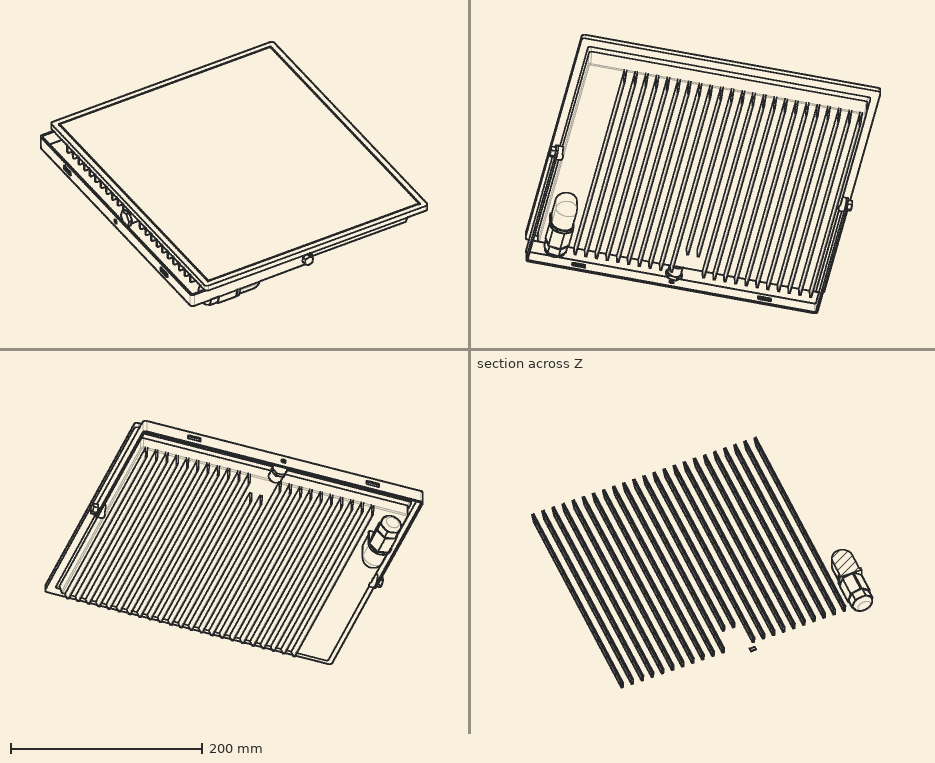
import cadquery as cq
import math


RIM_X = 320.5
RIM_Y = 270.5
RIM_BOTTOM = -6.5
RIM_CORNER = 3.2
RIM_BORDER = 6.5
GLASS_GAP = 1.0
GLASS_THICKNESS = 4.0

BODY_HALF_X = 149.3
BODY_FRONT = -124.0
BODY_BACK = 121.5
FLARE_X = 2.3
FLARE_Y = 4.2
BODY_SHOULDER = -8.7
BODY_BOTTOM = -22.3
BACK_SLOPE = 25.0
BODY_CORNER = 2.3
BODY_BOTTOM_FILLET = 1.3

FIN_COUNT = 23
FIN_FIRST_X = -143.5
FIN_LAST_X = 109.2
FIN_PITCH = (FIN_LAST_X - FIN_FIRST_X) / (FIN_COUNT - 1)
FIN_BOTTOM = -34.0
FIN_ROOT_THICKNESS = 2.5
FIN_TIP_THICKNESS = 1.5
FIN_TIP_ROUND = 0.5
FIN_FRONT_FILLET = 2.3
FIN_BACK_FILLET = 3.2
SHORT_FINS = (11, 12)
SHORT_FIN_SETBACK = 26.0

VENT_RADIUS = 8.7
VENT_NECK_RADIUS = 7.0
VENT_NECK_FRONT = -135.0
VENT_TIP = -139.0
VENT_Z = -17.5
VENT_TURN = 10.0

ENTRY_X = 132.0
ENTRY_Z = -37.0
ENTRY_RADIUS = 11.3
ENTRY_DOME_Y = -65.5
COLLAR_RADIUS = 12.5
COLLAR_BACK = -84.5
COLLAR_FRONT = -87.5

NUT_RADIUS = 13.0
NUT_FRONT = -109.2
CAP_RADIUS = 12.0
CAP_FRONT = -118.5
NOSE_RADIUS = 11.0
NOSE_FRONT = -122.8
NOSE_FILLET = 4.0
NUT_TURN = 16.0
CAP_TURN = 11.0

BRACKET_X = 313.0
BRACKET_FRONT = -150.3
BRACKET_HEIGHT = 15.0
BRACKET_THICKNESS = 2.0
BRACKET_BEND = 3.2
BRACKET_TILT = 0.5
NEARLY_FULL = 0.99
PIVOT_Y = -10.7
PIVOT_Z = -15.2
SLOT_X = 99.5
SLOT_LENGTH = 14.2
SLOT_HEIGHT = 5.0
SLOT_CORNER = 1.3
BOLT_HEAD_RADIUS = 5.5
BOLT_TIP_X = 161.5
BOLT_TURN = 20.0
SHANK_DIAMETER = 5.8
SHANK_DEPTH = 6.5


def slope_run(top, bottom):
    """Distance the sloped back wall moves forward between two heights."""
    return (top - bottom) * math.tan(math.radians(BACK_SLOPE))


def hexagon_corners(radius, turn):
    """Corners of a hexagon about the origin, the first one `turn` degrees from the first axis."""
    angles = [math.radians(turn + 60 * i) for i in range(6)]
    return [(radius * math.cos(angle), radius * math.sin(angle)) for angle in angles]


def hexagon_along_y(center_x, center_z, radius, turn, back, front):
    """Hexagonal bar from Y = back to Y = front."""
    return (
        cq.Workplane("XZ", origin=(center_x, back, center_z))
        .polyline(hexagon_corners(radius, turn))
        .close()
        .extrude(back - front)
    )


def rim_with_recess():
    rim = (
        cq.Workplane("XY", origin=(0, 0, RIM_BOTTOM))
        .rect(RIM_X, RIM_Y)
        .extrude(-RIM_BOTTOM)
        .edges("|Z")
        .fillet(RIM_CORNER)
    )
    recess = (
        cq.Workplane("XY", origin=(0, 0, -GLASS_THICKNESS))
        .rect(RIM_X - 2 * RIM_BORDER, RIM_Y - 2 * RIM_BORDER)
        .extrude(GLASS_THICKNESS)
    )
    return rim.cut(recess)


def rounded_section(half_x, front, back, z):
    """Horizontal rectangle with rounded corners at height z."""
    section = cq.Sketch().rect(2 * half_x, back - front).vertices().fillet(BODY_CORNER)
    return section.moved(cq.Location(cq.Vector(0, (front + back) / 2, z)))


def body_block():
    """Shallow box with a sloped back wall, flared outward where it meets the rim."""
    bottom_back = BODY_BACK - slope_run(BODY_SHOULDER, BODY_BOTTOM)
    box = (
        cq.Workplane("YZ", origin=(-BODY_HALF_X, 0, 0))
        .moveTo(BODY_FRONT, BODY_SHOULDER)
        .lineTo(BODY_BACK, BODY_SHOULDER)
        .lineTo(bottom_back, BODY_BOTTOM)
        .lineTo(BODY_FRONT, BODY_BOTTOM)
        .close()
        .extrude(2 * BODY_HALF_X)
        .edges("not #Z")
        .fillet(BODY_CORNER)
        .faces("<Z")
        .edges()
        .fillet(BODY_BOTTOM_FILLET)
    )
    top_front = BODY_FRONT - FLARE_Y
    top_back = BODY_BACK + FLARE_Y
    lower = rounded_section(BODY_HALF_X, BODY_FRONT, BODY_BACK, BODY_SHOULDER)
    upper = rounded_section(BODY_HALF_X + FLARE_X, top_front, top_back, RIM_BOTTOM)
    flare = cq.Workplane("XY").placeSketch(lower, upper).loft(ruled=True)
    return box.union(flare)


def fin(index):
    """One fin, tapered toward its tip, following the slope of the back wall."""
    x = FIN_FIRST_X + index * FIN_PITCH
    front = BODY_FRONT + (SHORT_FIN_SETBACK if index in SHORT_FINS else 0)
    root_z = BODY_BOTTOM + BODY_BOTTOM_FILLET
    root_back = BODY_BACK - slope_run(BODY_SHOULDER, root_z)
    tip_back = BODY_BACK - slope_run(BODY_SHOULDER, FIN_BOTTOM)
    side = (
        cq.Workplane("YZ", origin=(x - FIN_ROOT_THICKNESS / 2, 0, 0))
        .moveTo(front, root_z)
        .lineTo(root_back, root_z)
        .lineTo(tip_back, FIN_BOTTOM)
        .lineTo(front, FIN_BOTTOM)
        .close()
        .extrude(FIN_ROOT_THICKNESS)
    )
    side = side.edges("|X and <Z").edges("<Y").fillet(FIN_FRONT_FILLET)
    side = side.edges("|X and <Z").edges(">Y").fillet(FIN_BACK_FILLET)
    taper = (
        cq.Workplane("XZ", origin=(0, BODY_BACK, 0))
        .moveTo(x - FIN_ROOT_THICKNESS / 2, root_z)
        .lineTo(x + FIN_ROOT_THICKNESS / 2, root_z)
        .lineTo(x + FIN_TIP_THICKNESS / 2, FIN_BOTTOM + FIN_TIP_ROUND)
        .threePointArc((x, FIN_BOTTOM), (x - FIN_TIP_THICKNESS / 2, FIN_BOTTOM + FIN_TIP_ROUND))
        .close()
        .extrude(BODY_BACK - BODY_FRONT)
    )
    return side.intersect(taper)


def vent_plug():
    """Hexagonal vent head on a round neck."""
    neck = (
        cq.Workplane("XZ", origin=(0, BODY_FRONT, VENT_Z))
        .circle(VENT_NECK_RADIUS)
        .extrude(BODY_FRONT - VENT_NECK_FRONT)
    )
    head = hexagon_along_y(0, VENT_Z, VENT_RADIUS, VENT_TURN, VENT_NECK_FRONT, VENT_TIP)
    return neck.union(head)


def arch_prism(radius, back, front):
    """Bar hanging from the housing bottom: straight sides and a half-round underside."""
    top = BODY_BOTTOM + BODY_BOTTOM_FILLET
    return (
        cq.Workplane("XZ", origin=(ENTRY_X, back, 0))
        .moveTo(-radius, top)
        .lineTo(radius, top)
        .lineTo(radius, ENTRY_Z)
        .threePointArc((0, ENTRY_Z - radius), (-radius, ENTRY_Z))
        .close()
        .extrude(back - front)
    )


def cable_entry():
    """Cable duct with a rounded back end and a collar that seats the gland."""
    duct = arch_prism(ENTRY_RADIUS, ENTRY_DOME_Y, COLLAR_BACK)
    collar = arch_prism(COLLAR_RADIUS, COLLAR_BACK, COLLAR_FRONT)
    back_end = (
        cq.Workplane("XY", origin=(ENTRY_X, ENTRY_DOME_Y, ENTRY_Z))
        .circle(ENTRY_RADIUS)
        .extrude(BODY_BOTTOM + BODY_BOTTOM_FILLET - ENTRY_Z)
    )
    dome = cq.Workplane("XY", origin=(ENTRY_X, ENTRY_DOME_Y, ENTRY_Z)).sphere(ENTRY_RADIUS)
    return duct.union(collar).union(back_end).union(dome)


def pivot_pad(side):
    """Round pad between the side wall and the bracket arm."""
    inner_x = BODY_HALF_X - BODY_BOTTOM_FILLET
    arm_x = BRACKET_X / 2 - BRACKET_THICKNESS
    return (
        cq.Workplane("YZ", origin=(side * inner_x, PIVOT_Y, PIVOT_Z))
        .circle(BRACKET_HEIGHT / 2)
        .extrude(side * (arm_x - inner_x))
    )


def bolt_shank(side):
    """Cylinder from under the bolt head, through the arm, into the side wall."""
    length = BRACKET_X / 2 - BODY_HALF_X + SHANK_DEPTH
    return (
        cq.Workplane("YZ", origin=(side * BRACKET_X / 2, PIVOT_Y, PIVOT_Z))
        .circle(SHANK_DIAMETER / 2)
        .extrude(-side * length)
    )


def build_housing():
    housing = rim_with_recess().union(body_block())
    for index in range(FIN_COUNT):
        housing = housing.union(fin(index))
    housing = housing.union(vent_plug()).union(cable_entry())
    for side in (-1, 1):
        housing = housing.union(pivot_pad(side)).cut(bolt_shank(side))
    return housing


def build_glass():
    inset = RIM_BORDER + GLASS_GAP
    return (
        cq.Workplane("XY", origin=(0, 0, -GLASS_THICKNESS))
        .rect(RIM_X - 2 * inset, RIM_Y - 2 * inset)
        .extrude(GLASS_THICKNESS)
    )


def build_gland():
    nut = hexagon_along_y(ENTRY_X, ENTRY_Z, NUT_RADIUS, NUT_TURN, COLLAR_FRONT, NUT_FRONT)
    cap = hexagon_along_y(ENTRY_X, ENTRY_Z, CAP_RADIUS, CAP_TURN, NUT_FRONT, CAP_FRONT)
    nose = (
        cq.Workplane("XZ", origin=(ENTRY_X, CAP_FRONT, ENTRY_Z))
        .circle(NOSE_RADIUS)
        .extrude(CAP_FRONT - NOSE_FRONT)
        .faces("<Y")
        .edges()
        .fillet(NOSE_FILLET)
    )
    return nut.union(cap).union(nose)


def bracket_block(width, front, bend):
    """Block reaching back to the arm ends, with its two front corners rounded."""
    length = PIVOT_Y + BRACKET_HEIGHT / 2 - front
    return (
        cq.Workplane("XY", origin=(0, front + length / 2, PIVOT_Z - BRACKET_HEIGHT / 2))
        .rect(width, length)
        .extrude(BRACKET_HEIGHT)
        .edges("|Z and <Y")
        .fillet(bend)
    )


def build_bracket():
    """U-shaped strap with rounded arm ends, tilted slightly about the bolt axis."""
    half_height = BRACKET_HEIGHT / 2
    inner_x = BRACKET_X - 2 * BRACKET_THICKNESS
    outline = bracket_block(BRACKET_X, BRACKET_FRONT, BRACKET_BEND)
    inside = bracket_block(inner_x, BRACKET_FRONT + BRACKET_THICKNESS, BRACKET_BEND - BRACKET_THICKNESS)
    strap = outline.cut(inside).edges("|X and >Y").fillet(half_height * NEARLY_FULL)
    front_plane = cq.Workplane("XZ", origin=(0, BRACKET_FRONT, PIVOT_Z))
    slots = front_plane.pushPoints([(-SLOT_X, 0), (SLOT_X, 0)]).rect(SLOT_LENGTH, SLOT_HEIGHT)
    strap = strap.cut(slots.extrude(-BRACKET_THICKNESS).edges("|Y").fillet(SLOT_CORNER))
    strap = strap.cut(front_plane.circle(SLOT_HEIGHT / 2).extrude(-BRACKET_THICKNESS))
    strap = strap.rotate((0, PIVOT_Y, PIVOT_Z), (1, PIVOT_Y, PIVOT_Z), BRACKET_TILT)
    for side in (-1, 1):
        strap = strap.cut(bolt_shank(side))
    return strap


def build_bolt(side):
    """Hexagon-head bolt on one side: side is -1 for -X and 1 for +X."""
    head = (
        cq.Workplane("YZ", origin=(side * BRACKET_X / 2, PIVOT_Y, PIVOT_Z))
        .polyline(hexagon_corners(BOLT_HEAD_RADIUS, BOLT_TURN))
        .close()
        .extrude(side * (BOLT_TIP_X - BRACKET_X / 2))
    )
    return head.union(bolt_shank(side))


housing = build_housing()
glass = build_glass()
bracket = build_bracket()
gland = build_gland()
bolts = [build_bolt(side) for side in (-1, 1)]

result = cq.Compound.makeCompound(
    [housing.val(), glass.val(), bracket.val(), gland.val(), *[bolt.val() for bolt in bolts]]
)